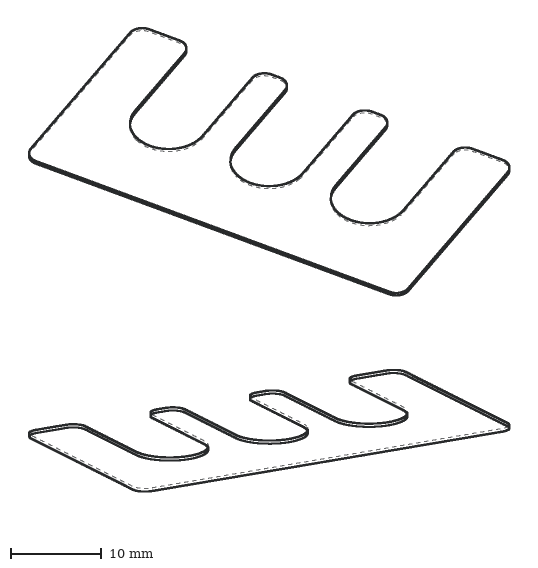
import cadquery as cq

length = 47.75
width = 25.4
thickness = 0.4
corner_radius = 1.55

slot_count = 3
slot_pitch = 12.7
slot_width = 8.55
slot_depth = 17.0

slot_radius = slot_width / 2
slot_center_y = width / 2 - slot_depth + slot_radius


def slot_cutter(center_x):
    """Slot with a full-round bottom, reaching the +Y edge of the plate."""
    return (
        cq.Workplane("XY", origin=(0, 0, -thickness / 2))
        .moveTo(center_x - slot_radius, width / 2)
        .lineTo(center_x - slot_radius, slot_center_y)
        .threePointArc(
            (center_x, slot_center_y - slot_radius),
            (center_x + slot_radius, slot_center_y),
        )
        .lineTo(center_x + slot_radius, width / 2)
        .close()
        .extrude(thickness)
    )


plate = cq.Workplane("XY").box(length, width, thickness)
for index in range(slot_count):
    plate = plate.cut(slot_cutter((index - (slot_count - 1) / 2) * slot_pitch))

outer_edges = plate.faces("<Y or >Y").edges("|Z")
result = outer_edges.fillet(corner_radius)